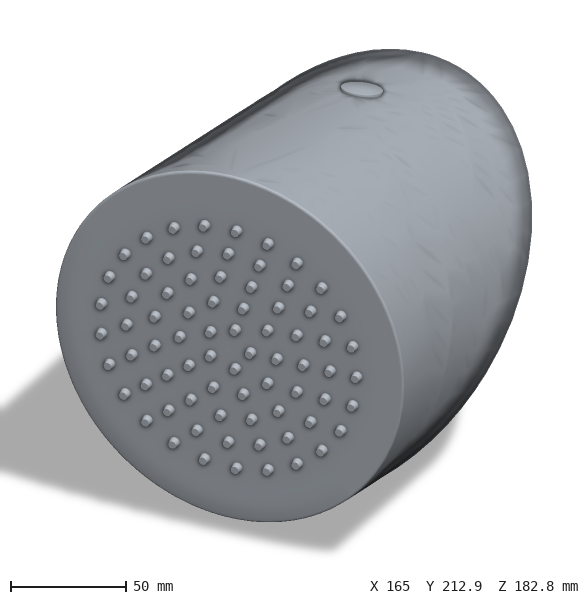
import cadquery as cq
import math


FACE_WIDTH = 165.0
FACE_HEIGHT = 175.0
SWEEP_TILT = 15.0
BACK_TIP_Y = 209.9
BACK_HEEL_Y = 30.2
RIM_FILLET = 1.0

PLATE_THICKNESS = 4.3

RING_COUNT = 5
FIRST_RING_NOZZLES = 5
FIRST_RING_RADIUS = 10.5
RING_SPACING = 12.5
NOZZLE_BASE_DIAMETER = 5.0
NOZZLE_TIP_DIAMETER = 3.6
NOZZLE_LENGTH = 3.0

BUTTON_DIAMETER = 18.3
BUTTON_Y = 144.1
BUTTON_RECESS = 2.1
BUTTON_EDGE_HEIGHT = 1.0
BUTTON_DOME = 1.0

half_width = FACE_WIDTH / 2
half_height = FACE_HEIGHT / 2
tilt_slope = math.tan(math.radians(SWEEP_TILT))


def top_z(y):
    """Height of the housing's top line at a distance behind the face."""
    return half_height - y * tilt_slope


def bottom_z(y):
    """Height of the housing's bottom line at a distance behind the face."""
    return -half_height - y * tilt_slope


def make_housing_blank():
    """Tilted elliptic body with its sloping back and its rounded rim, before any recess."""
    sweep_path = cq.Workplane("YZ").lineTo(BACK_TIP_Y, -BACK_TIP_Y * tilt_slope)
    body = cq.Workplane("XZ").ellipse(half_width, half_height).sweep(sweep_path)
    side_profile = [
        (0, half_height),
        (BACK_TIP_Y, top_z(BACK_TIP_Y)),
        (BACK_HEEL_Y, bottom_z(BACK_HEEL_Y)),
        (0, bottom_z(BACK_HEEL_Y)),
    ]
    envelope = cq.Workplane("YZ").polyline(side_profile).close().extrude(FACE_WIDTH, both=True)
    return body.intersect(envelope).faces("<Y").edges().fillet(RIM_FILLET)


def make_plate(blank):
    """Flat plate inside the rim fillet, its edge running back along the sweep."""
    outline = blank.faces("<Y").val().outerWire()
    depth = cq.Vector(0, PLATE_THICKNESS, -PLATE_THICKNESS * tilt_slope)
    return cq.Workplane(cq.Solid.extrudeLinear(outline, [], depth))


def add_nozzles(plate):
    """The plate joined with its rings of tapered nozzles."""
    taper = math.degrees(math.atan((NOZZLE_BASE_DIAMETER - NOZZLE_TIP_DIAMETER) / 2 / NOZZLE_LENGTH))
    for ring in range(1, RING_COUNT + 1):
        radius = FIRST_RING_RADIUS + (ring - 1) * RING_SPACING
        nozzles = (
            cq.Workplane("XZ")
            .polarArray(radius, 0, 360, ring * FIRST_RING_NOZZLES)
            .circle(NOZZLE_BASE_DIAMETER / 2)
            .extrude(NOZZLE_LENGTH, taper=taper)
        )
        plate = plate.union(nozzles)
    return plate


def make_button():
    """Disc with a spherical dome, turned about the normal of the housing's top line."""
    radius = BUTTON_DIAMETER / 2
    dome_top = BUTTON_EDGE_HEIGHT + BUTTON_DOME
    dome_radius = (radius**2 + BUTTON_DOME**2) / (2 * BUTTON_DOME)
    mid_x = radius / 2
    mid_z = dome_top - dome_radius + math.sqrt(dome_radius**2 - mid_x**2)
    button = (
        cq.Workplane("XZ")
        .moveTo(0, -BUTTON_RECESS)
        .lineTo(radius, -BUTTON_RECESS)
        .lineTo(radius, BUTTON_EDGE_HEIGHT)
        .threePointArc((mid_x, mid_z), (0, dome_top))
        .close()
        .revolve(360, (0, 0), (0, 1))
    )
    tilted = button.rotate((0, 0, 0), (1, 0, 0), -SWEEP_TILT)
    return tilted.translate((0, BUTTON_Y, top_z(BUTTON_Y)))


blank = make_housing_blank()
plate = make_plate(blank)
button = make_button()
housing = blank.cut(plate).cut(button)
spray_plate = add_nozzles(plate)

result = cq.Compound.makeCompound([*housing.solids().vals(), *spray_plate.solids().vals(), button.val()])